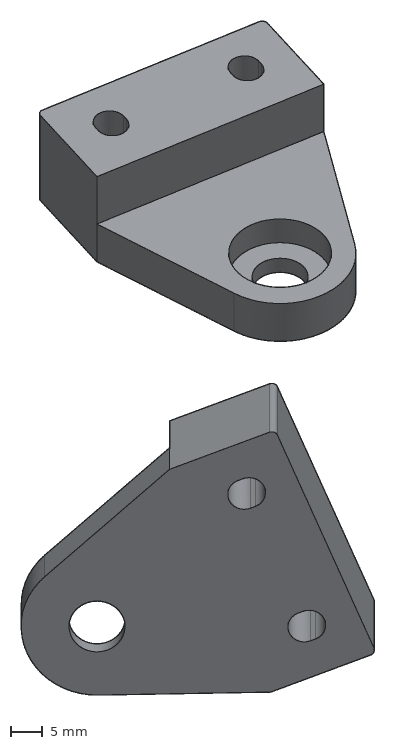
import cadquery as cq
import math

length = 51.0
width = 42.0
height = 18.0

block_length = 18.0
plate_thickness = 8.0
corner_radius = 0.95
nose_radius = 12.0

bore_diameter = 8.8
counterbore_diameter = 16.2
counterbore_depth = 5.0

slot_length = 6.0
slot_width = 5.2
slot_x = 8.35
slot_spacing = 25.0

half_width = width / 2
nose_x = length - nose_radius


def make_plate():
    """Plate whose straight flanks run tangent into the round nose."""
    flank_run = nose_x - block_length
    corner_distance = math.hypot(flank_run, half_width)
    corner_angle = math.atan2(half_width, -flank_run)
    tangent_angle = corner_angle - math.acos(nose_radius / corner_distance)
    tangent_x = nose_x + nose_radius * math.cos(tangent_angle)
    tangent_y = nose_radius * math.sin(tangent_angle)
    return (
        cq.Workplane("XY")
        .moveTo(block_length, -half_width)
        .lineTo(tangent_x, -tangent_y)
        .threePointArc((length, 0), (tangent_x, tangent_y))
        .lineTo(block_length, half_width)
        .close()
        .extrude(plate_thickness)
    )


def make_block():
    """Full-height mounting block with rounded rear corners."""
    return (
        cq.Workplane("XY")
        .box(block_length, width, height, centered=(False, True, False))
        .edges("|Z and <X")
        .fillet(corner_radius)
    )


def cut_stepped_bore(body):
    """Through bore with a counterbore open at the plate's top face."""
    bore = (
        cq.Workplane("XY", origin=(nose_x, 0, 0))
        .circle(bore_diameter / 2)
        .extrude(plate_thickness)
    )
    counterbore = (
        cq.Workplane("XY", origin=(nose_x, 0, plate_thickness - counterbore_depth))
        .circle(counterbore_diameter / 2)
        .extrude(counterbore_depth)
    )
    return body.cut(bore).cut(counterbore)


def cut_mounting_slots(body):
    """Pair of slots through the full height of the block."""
    slots = (
        cq.Workplane("XY")
        .pushPoints([(slot_x, side * slot_spacing / 2) for side in (-1, 1)])
        .slot2D(slot_length, slot_width)
        .extrude(height)
    )
    return body.cut(slots)


result = make_block().union(make_plate())
result = cut_stepped_bore(result)
result = cut_mounting_slots(result)